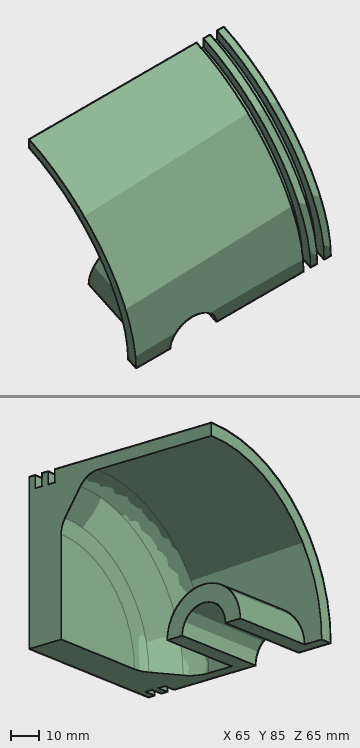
import cadquery as cq
import math

length = 85.0
outer_radius = 65.0
wall = 5.0
inner_radius = outer_radius - wall

crown_thickness = 15.0
shoulder_height = 12.0
shoulder_angle = 35.0
cavity_fillet = 10.0

groove_width = 3.0
groove_pitch = 2 * groove_width
groove_depth = wall
groove_count = 2

pin_y = 25.0
pin_radius = 10.0
boss_radius = 17.0
boss_start_x = 25.0


def disc(radius, y_start, thickness):
    """Solid disc around the piston axis, extending toward +Y."""
    return cq.Workplane("XZ", origin=(0, y_start, 0)).circle(radius).extrude(-thickness)


def cylinder_along_x(radius, x_start, x_end):
    """Cylinder centred on the pin axis."""
    return cq.Workplane("YZ", origin=(x_start, pin_y, 0)).circle(radius).extrude(x_end - x_start)


def make_cavity():
    floor_y = length - crown_thickness
    shoulder_y = floor_y - shoulder_height
    shoulder_run = shoulder_height / math.tan(math.radians(shoulder_angle))
    floor_radius = inner_radius - shoulder_run
    cavity = (
        cq.Workplane("XY")
        .polyline([(0, 0), (inner_radius, 0), (inner_radius, shoulder_y), (floor_radius, floor_y), (0, floor_y)])
        .close()
        .revolve(360, (0, 0, 0), (0, 1, 0))
    )
    shoulder_edges = cavity.edges("%CIRCLE").edges(">Y or >>Y[-2]")
    return cavity.newObject(shoulder_edges.vals()).fillet(cavity_fillet)


def make_groove(index):
    y_start = length - groove_width - index * groove_pitch - groove_width
    root = disc(outer_radius - groove_depth, y_start, groove_width)
    return disc(2 * outer_radius, y_start, groove_width).cut(root)


outer = disc(outer_radius, 0, length)
piston = outer.cut(make_cavity())

boss = cylinder_along_x(boss_radius, boss_start_x, outer_radius).intersect(outer)
piston = piston.union(boss)
piston = piston.cut(cylinder_along_x(pin_radius, 0, 2 * outer_radius))

for groove_index in range(groove_count):
    piston = piston.cut(make_groove(groove_index))

quarter = cq.Workplane("XY").box(outer_radius, length, outer_radius, centered=False)
result = piston.intersect(quarter)